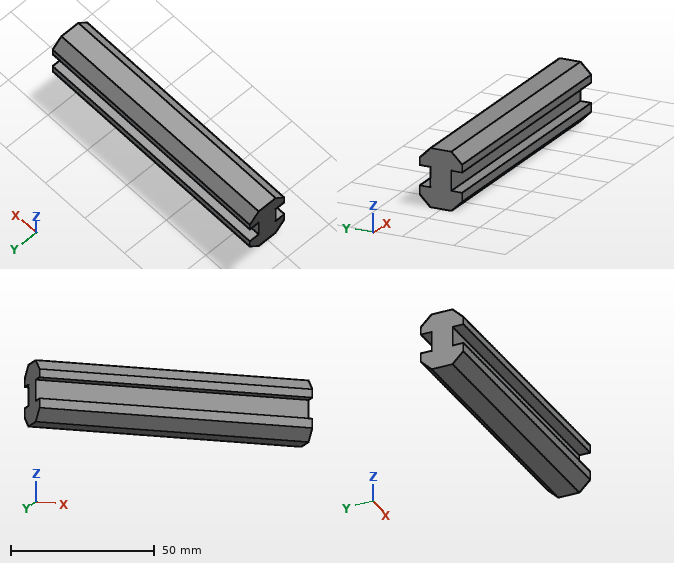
import cadquery as cq

length = 100.0
width = 16.5
height = 22.0
web_width = 8.1
groove_height = 7.5
groove_rise = 0.2
chamfer_width = 4.2
chamfer_height = 4.1

half_width = width / 2
half_height = height / 2
half_web = web_width / 2

bar = (
    cq.Workplane("YZ")
    .polyline([
        (half_width, half_height - chamfer_height),
        (half_width - chamfer_width, half_height),
        (chamfer_width - half_width, half_height),
        (-half_width, half_height - chamfer_height),
        (-half_width, chamfer_height - half_height),
        (chamfer_width - half_width, -half_height),
        (half_width - chamfer_width, -half_height),
        (half_width, chamfer_height - half_height),
    ])
    .close()
    .extrude(length / 2, both=True)
)

groove_depth = half_width - half_web
groove_centre = half_web + groove_depth / 2
for side in (-1, 1):
    groove = cq.Workplane("XY").box(length, groove_depth, groove_height)
    bar = bar.cut(groove.translate((0, side * groove_centre, groove_rise)))

result = bar